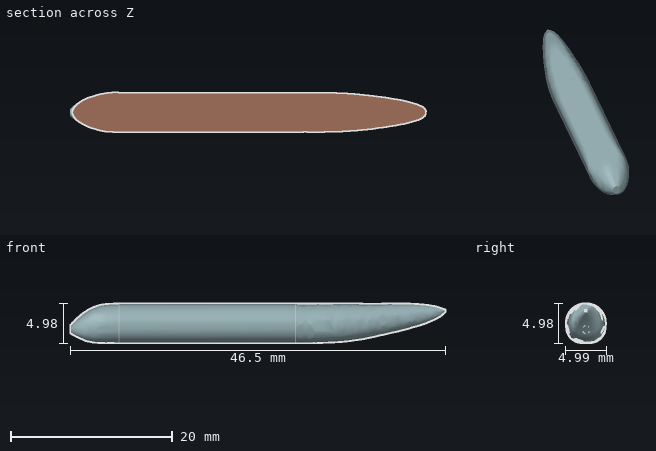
import cadquery as cq
import math


LENGTH = 46.5
WIDTH = 4.97
HALF_WIDTH = WIDTH / 2
TOP_Z = 2.5
BOTTOM_Z = -2.45
NOSE_LENGTH = 6.05
TAIL_START = 27.9
UPPER_EXPONENT = 2.0
LOWER_EXPONENT = 2.4
POINTS_PER_SECTION = 24

BARREL_FRONT = (NOSE_LENGTH, TOP_Z, BOTTOM_Z, HALF_WIDTH)
BARREL_BACK = (TAIL_START, TOP_Z, BOTTOM_Z, HALF_WIDTH)

NOSE_SECTIONS = [
    (0.0, -0.25, -1.2, 0.4),
    (0.8, 0.6, -1.67, 1.1),
    (1.95, 1.55, -2.2, 1.75),
    (3.25, 2.2, -2.4, 2.2),
    (4.4, 2.4, BOTTOM_Z, 2.4),
    BARREL_FRONT,
]

TAIL_SECTIONS = [
    BARREL_BACK,
    (30.2, TOP_Z, BOTTOM_Z, HALF_WIDTH),
    (32.55, TOP_Z, -2.35, 2.45),
    (36.25, TOP_Z, -1.95, 2.25),
    (39.5, TOP_Z, -1.25, 1.85),
    (42.3, 2.45, -0.55, 1.45),
    (44.4, 2.3, 0.15, 1.0),
    (45.65, 2.05, 0.75, 0.6),
    (LENGTH, 1.7, 1.45, 0.15),
]


def rounded_power(value, exponent):
    """Raise the size of a sine or cosine to 2 / exponent and keep its sign."""
    return math.copysign(abs(value) ** (2 / exponent), value)


def section_wire(x, top, bottom, half_width):
    """Closed smooth outline in a plane across X, squarer below its widest level."""
    mid_z = (top + bottom) / 2
    half_height = (top - bottom) / 2
    points = []
    for index in range(POINTS_PER_SECTION):
        angle = 2 * math.pi * index / POINTS_PER_SECTION
        exponent = UPPER_EXPONENT if index <= POINTS_PER_SECTION / 2 else LOWER_EXPONENT
        y = half_width * rounded_power(math.cos(angle), exponent)
        z = mid_z + half_height * rounded_power(math.sin(angle), exponent)
        points.append(cq.Vector(x, y, z))
    parameters = range(POINTS_PER_SECTION + 1)
    outline = cq.Edge.makeSpline(points, periodic=True, parameters=parameters)
    return cq.Wire.assembleEdges([outline])


def loft_sections(sections):
    wires = [section_wire(*section) for section in sections]
    return cq.occ_impl.shapes.loft(*wires, cap=True, parametrization="chordal")


def make_spindle():
    """Join nose, barrel and tail, which share their end sections, into one solid."""
    nose = loft_sections(NOSE_SECTIONS)
    barrel = loft_sections([BARREL_FRONT, BARREL_BACK])
    tail = loft_sections(TAIL_SECTIONS)
    return nose.fuse(barrel, tail).Solids()[0]


spindle = make_spindle()
result = cq.Compound.makeCompound([spindle])